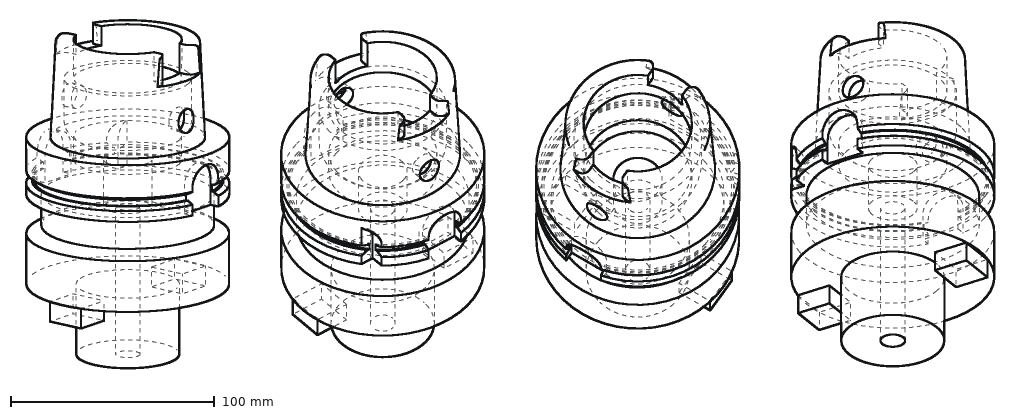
import cadquery as cq
import math

total_length = 161.0

taper_length = 50.0
taper_base_diameter = 76.0
taper_ratio = 0.1
rim_round = 2.0
bore_diameter = 53.1
bore_depth = 20.0
chamber_diameter = 62.8
chamber_wall_depth = 40.7
chamber_end_round = 10.0
chamber_floor_depth = 61.5
cross_hole_diameter = 11.9
cross_hole_depth = 35.1

drive_slot_width = 20.0
drive_slot_depth_minus_x = 10.0
drive_slot_depth_plus_x = 15.0
drive_relief_distance = 32.2
drive_corner_round = 4.0

flange_diameter = 100.0
flange_height = 29.0
groove_diameter = 92.4
groove_lip_diameter = 94.3
groove_top_drop = 16.9
groove_mouth_width = 6.6
groove_floor_width = 3.4
flange_slot_width = 20.3
flange_slot_drop = 5.0
flange_slot_floor = 44.0
notch_floor = 31.7
notch_center_y = 41.7

neck_diameter = 85.0
shoulder_height = 4.2
body_diameter = 99.8
body_height = 26.0
shank_diameter = 50.7
shank_length = 35.9

key_width = 19.6
key_height = 10.1
key_inner = 30.6
key_outer = 48.8

passage_diameter = 12.0
counterbore_diameter = 24.0
counterbore_depth = 24.2

flange_top = total_length - taper_length
flange_bottom = flange_top - flange_height
chamber_floor = total_length - chamber_floor_depth
body_top = shank_length + body_height
groove_top = flange_top - groove_top_drop
groove_bottom = groove_top - groove_mouth_width
groove_side = (groove_mouth_width - groove_floor_width) / 2
flange_radius = flange_diameter / 2
taper_base_radius = taper_base_diameter / 2
taper_top_radius = taper_base_radius - taper_ratio * taper_length / 2


def drum(diameter, bottom, top):
    """Upright cylinder on the axis between two levels."""
    return cq.Workplane("XY").workplane(offset=bottom).circle(diameter / 2).extrude(top - bottom)


def block(x_range, y_range, z_range):
    """Box given by its two limits along each axis."""
    size = [high - low for low, high in (x_range, y_range, z_range)]
    corner = (x_range[0], y_range[0], z_range[0])
    return cq.Workplane("XY").box(*size, centered=False).translate(corner)


def turned_outside():
    """Solid of revolution carrying every outside diameter."""
    flank_angle = math.atan(taper_ratio / 2)
    round_reach = rim_round * math.tan((math.pi / 2 - flank_angle) / 2)
    rim_radius = taper_top_radius - round_reach
    round_center_z = total_length - rim_round
    mid_angle = (math.pi / 2 + flank_angle) / 2
    round_mid, round_end = [
        (
            rim_radius + rim_round * math.cos(angle),
            round_center_z + rim_round * math.sin(angle),
        )
        for angle in (mid_angle, flank_angle)
    ]
    return (
        cq.Workplane("XZ")
        .moveTo(0, 0)
        .lineTo(shank_diameter / 2, 0)
        .lineTo(shank_diameter / 2, shank_length)
        .lineTo(body_diameter / 2, shank_length)
        .lineTo(body_diameter / 2, body_top)
        .lineTo(neck_diameter / 2, body_top + shoulder_height)
        .lineTo(neck_diameter / 2, flange_bottom)
        .lineTo(flange_radius, flange_bottom)
        .lineTo(flange_radius, groove_bottom)
        .lineTo(groove_lip_diameter / 2, groove_bottom + groove_side)
        .lineTo(groove_diameter / 2, groove_bottom + groove_side)
        .lineTo(groove_diameter / 2, groove_top - groove_side)
        .lineTo(groove_lip_diameter / 2, groove_top - groove_side)
        .lineTo(flange_radius, groove_top)
        .lineTo(flange_radius, flange_top)
        .lineTo(taper_base_radius, flange_top)
        .lineTo(*round_end)
        .threePointArc(round_mid, (rim_radius, total_length))
        .lineTo(0, total_length)
        .close()
        .revolve(360, (0, 0), (0, 1))
    )


def taper_cavity():
    """Bore, undercut clamping chamber and the floor below it."""
    bore_radius = bore_diameter / 2
    chamber_radius = chamber_diameter / 2
    bore_end = total_length - bore_depth
    wall_end = total_length - chamber_wall_depth
    arc_center = chamber_radius - chamber_end_round
    arc_angle = math.acos((bore_radius - arc_center) / chamber_end_round)
    arc_mid, arc_end = [
        (
            arc_center + chamber_end_round * math.cos(angle),
            wall_end - chamber_end_round * math.sin(angle),
        )
        for angle in (arc_angle / 2, arc_angle)
    ]
    return (
        cq.Workplane("XZ")
        .moveTo(0, total_length)
        .lineTo(bore_radius, total_length)
        .lineTo(bore_radius, bore_end)
        .lineTo(chamber_radius, bore_end)
        .lineTo(chamber_radius, wall_end)
        .threePointArc(arc_mid, arc_end)
        .lineTo(bore_radius, chamber_floor)
        .lineTo(0, chamber_floor)
        .close()
        .revolve(360, (0, 0), (0, 1))
    )


def drive_slot(side, depth):
    """Cutter for one rim slot: side is -1 or +1 along X."""
    bottom = total_length - depth
    levels = (bottom, total_length)
    half_width = drive_slot_width / 2
    reach = flange_radius
    keep = block((0, drive_relief_distance), (half_width, reach), levels)
    keep = keep.edges("|Z and >X and <Y").fillet(drive_corner_round)
    keep = keep.union(keep.mirror("XZ"))
    cutter = block((0, reach), (-reach, reach), levels).cut(keep)
    if side < 0:
        cutter = cutter.mirror("YZ")
    return cutter


def flange_slot(floor, center_y):
    """Round-crowned cutter on the +X side, open at the bottom of the flange."""
    radius = flange_slot_width / 2
    crown_center = flange_top - flange_slot_drop - radius
    return (
        cq.Workplane("YZ", origin=(floor, center_y, 0))
        .moveTo(-radius, flange_bottom)
        .lineTo(radius, flange_bottom)
        .lineTo(radius, crown_center)
        .threePointArc((0, crown_center + radius), (-radius, crown_center))
        .close()
        .extrude(flange_radius)
    )


def driving_keys():
    """Two rectangular keys under the body on the Y axis."""
    across = (-key_width / 2, key_width / 2)
    key = block(across, (key_inner, key_outer), (shank_length - key_height, shank_length))
    return key.union(key.mirror("XZ"))


result = turned_outside()

result = result.cut(taper_cavity())
result = result.cut(drum(counterbore_diameter, chamber_floor - counterbore_depth, chamber_floor))
result = result.cut(drum(passage_diameter, 0, chamber_floor))

cross_hole = (
    cq.Workplane("YZ", origin=(0, 0, total_length - cross_hole_depth))
    .circle(cross_hole_diameter / 2)
    .extrude(taper_base_radius, both=True)
)
result = result.cut(cross_hole)

result = result.cut(drive_slot(-1, drive_slot_depth_minus_x))
result = result.cut(drive_slot(1, drive_slot_depth_plus_x))

plus_x_slot = flange_slot(flange_slot_floor, 0)
result = result.cut(plus_x_slot)
result = result.cut(plus_x_slot.mirror("YZ"))
result = result.cut(flange_slot(notch_floor, notch_center_y).mirror("YZ"))

result = result.union(driving_keys())